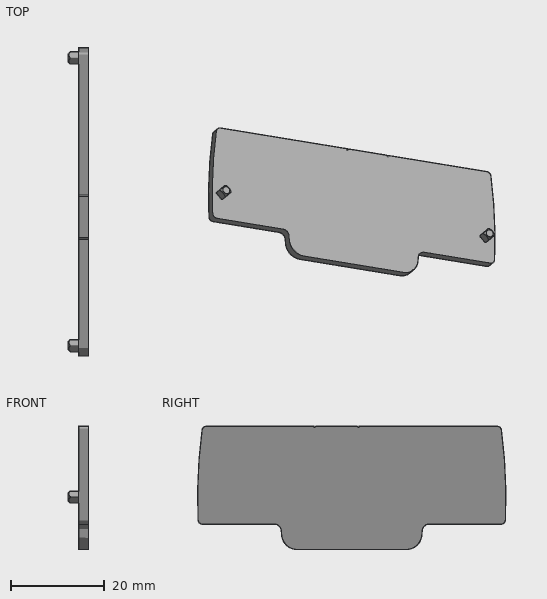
import cadquery as cq
import math

plate_thickness = 2.1
plate_length = 65.69
plate_height = 26.3
half_length = plate_length / 2

bow_radius = 110.0
bow_height = 11.0
corner_radius = 1.0

tab_height = 5.4
tab_root_half_width = 15.15
tab_wall_draft = 5.0
tab_foot_half_width = tab_root_half_width - tab_height * math.tan(math.radians(tab_wall_draft))
tab_root_radius = 1.4
tab_corner_radius = 3.4

nick_depth = 0.3
nick_width = 0.4
rear_nick_wall_y = 1.5
front_nick_wall_y = -8.0

pin_length = 2.3
pin_side = 1.95
pin_edge_radius = 0.25
pin_spacing = 61.2
pin_height = 11.2
pin_tip_radius = 0.8
pin_tip_length = 0.7

pick_reach = 0.1


def bow_y(z):
    """Half-length of the plate at height z."""
    drop = bow_radius - math.sqrt(bow_radius**2 - (z - bow_height) ** 2)
    return half_length - drop


def round_edge_pair(solid, y, z, radius):
    """Fillet the two edges through the thickness at (+y, z) and (-y, z)."""
    for edge_y in (-y, y):
        at_corner = cq.selectors.BoxSelector(
            (0, edge_y - pick_reach, z - pick_reach),
            (plate_thickness, edge_y + pick_reach, z + pick_reach),
        )
        solid = solid.edges("|X").edges(at_corner).fillet(radius)
    return solid


def make_plate():
    top_y = bow_y(plate_height)
    shoulder_y = bow_y(tab_height)
    plate = (
        cq.Workplane("YZ")
        .moveTo(-shoulder_y, tab_height)
        .lineTo(-tab_root_half_width, tab_height)
        .lineTo(-tab_foot_half_width, 0)
        .lineTo(tab_foot_half_width, 0)
        .lineTo(tab_root_half_width, tab_height)
        .lineTo(shoulder_y, tab_height)
        .threePointArc((half_length, bow_height), (top_y, plate_height))
        .lineTo(-top_y, plate_height)
        .threePointArc((-half_length, bow_height), (-shoulder_y, tab_height))
        .close()
        .extrude(plate_thickness)
    )
    plate = round_edge_pair(plate, top_y, plate_height, corner_radius)
    plate = round_edge_pair(plate, shoulder_y, tab_height, corner_radius)
    plate = round_edge_pair(plate, tab_root_half_width, tab_height, tab_root_radius)
    return round_edge_pair(plate, tab_foot_half_width, 0, tab_corner_radius)


def make_nick(wall_y, slope_direction):
    """V cutter: upright wall at wall_y, floor rising along slope_direction (+1 or -1 in Y)."""
    return (
        cq.Workplane("YZ")
        .moveTo(wall_y, plate_height)
        .lineTo(wall_y, plate_height - nick_depth)
        .lineTo(wall_y + slope_direction * nick_width, plate_height)
        .close()
        .extrude(plate_thickness)
    )


def make_pin_shank(outer_edge):
    """Square bar along -X; outer_edge selects the edge that stays sharp."""
    half_diagonal = pin_side / math.sqrt(2)
    corners = [
        (half_diagonal, 0),
        (0, half_diagonal),
        (-half_diagonal, 0),
        (0, -half_diagonal),
    ]
    shank = cq.Workplane("YZ").polyline(corners).close().extrude(-pin_length)
    return shank.edges("|X").edges("not " + outer_edge).fillet(pin_edge_radius)


def make_pin_envelope():
    """Round bar along -X with a 45 degree cone at its tip."""
    cone_base_radius = pin_tip_radius + pin_tip_length
    return (
        cq.Workplane("XY")
        .lineTo(-pin_length, 0)
        .lineTo(-pin_length, pin_tip_radius)
        .lineTo(pin_tip_length - pin_length, cone_base_radius)
        .lineTo(0, cone_base_radius)
        .close()
        .revolve(360, (0, 0, 0), (1, 0, 0))
    )


def make_pin(y):
    """Pin at y; its edge facing the nearer plate end is sharp, the other three rounded."""
    outer_edge = ">Y" if y > 0 else "<Y"
    pin = make_pin_shank(outer_edge).intersect(make_pin_envelope())
    return pin.translate((0, y, pin_height))


result = make_plate()
result = result.cut(make_nick(rear_nick_wall_y, -1))
result = result.cut(make_nick(front_nick_wall_y, 1))
for pin_y in (-pin_spacing / 2, pin_spacing / 2):
    result = result.union(make_pin(pin_y))